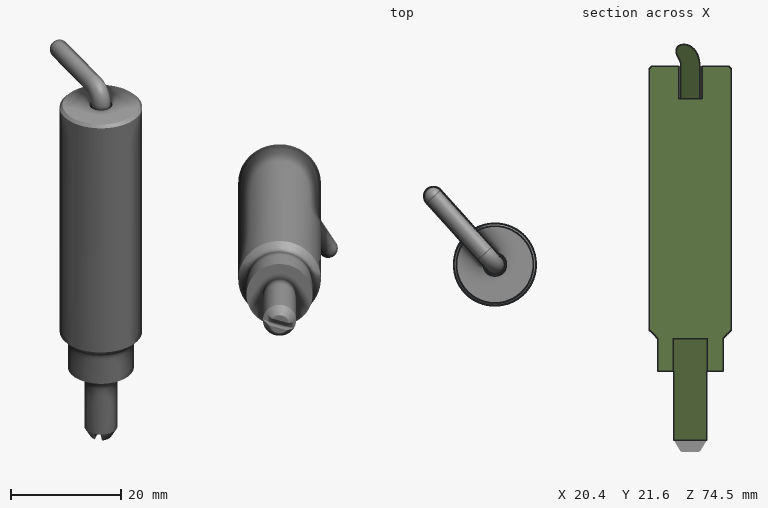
import cadquery as cq
import math

total_height = 74.5
housing_diameter = 15.0
housing_top = 69.95
top_chamfer = 0.5
neck_diameter = 12.0
neck_bottom = 14.5
neck_length = 6.0
shoulder_chamfer = (housing_diameter - neck_diameter) / 2

pin_diameter = 6.0
pin_end_diameter = 3.7
pin_end_fillet = 0.4
pin_taper_length = 2.0
pin_slot_width = 1.4
pin_insertion = 5.95

cable_diameter = 3.5
cable_hole_diameter = 4.2
cable_insertion = 5.95
cable_reach = 18.4
cable_turn = 132.0

cable_radius = cable_diameter / 2
cable_axis_height = total_height - cable_radius
bend_radius = cable_axis_height - housing_top


def make_housing():
    """Cylinder with a reduced neck below and blind sockets for the pin and the cable."""
    neck_top = neck_bottom + neck_length
    neck = cq.Workplane("XY", origin=(0, 0, neck_bottom)).circle(neck_diameter / 2).extrude(neck_length)
    barrel = (
        cq.Workplane("XY", origin=(0, 0, neck_top))
        .circle(housing_diameter / 2)
        .extrude(housing_top - neck_top)
        .faces("<Z").chamfer(shoulder_chamfer)
        .faces(">Z").chamfer(top_chamfer)
    )
    pin_socket = (
        cq.Workplane("XY", origin=(0, 0, neck_bottom))
        .circle(pin_diameter / 2)
        .extrude(pin_insertion)
    )
    cable_socket = (
        cq.Workplane("XY", origin=(0, 0, housing_top))
        .circle(cable_hole_diameter / 2)
        .extrude(-cable_insertion)
    )
    return barrel.union(neck).cut(pin_socket).cut(cable_socket)


def make_pin():
    """Round pin with a tapered, rounded lower end and a slot across the taper along Y."""
    radius = pin_diameter / 2
    pin_top = neck_bottom + pin_insertion
    pin = (
        cq.Workplane("XZ")
        .polyline([
            (0, 0),
            (pin_end_diameter / 2, 0),
            (radius, pin_taper_length),
            (radius, pin_top),
            (0, pin_top),
        ])
        .close()
        .revolve(360, (0, 0), (0, 1))
        .faces("<Z").edges().fillet(pin_end_fillet)
    )
    slot = cq.Workplane("XY").rect(pin_slot_width, pin_diameter).extrude(pin_taper_length)
    return pin.cut(slot)


def make_cable():
    """Cable rising from the housing, bent to horizontal, with a hemispherical tip."""
    ball_distance = cable_reach - cable_radius
    bend_offset = bend_radius * (1 - math.sqrt(0.5))
    path = (
        cq.Workplane("XZ")
        .moveTo(0, housing_top - cable_insertion)
        .lineTo(0, housing_top)
        .threePointArc(
            (bend_offset, cable_axis_height - bend_offset),
            (bend_radius, cable_axis_height),
        )
        .lineTo(ball_distance, cable_axis_height)
    )
    run = (
        cq.Workplane("XY", origin=(0, 0, housing_top - cable_insertion))
        .circle(cable_radius)
        .sweep(path)
    )
    tip = cq.Workplane("XY", origin=(ball_distance, 0, cable_axis_height)).sphere(cable_radius)
    return run.union(tip).rotate((0, 0, 0), (0, 0, 1), cable_turn)


housing = make_housing()
pin = make_pin()
cable = make_cable()

result = cq.Compound.makeCompound([housing.val(), pin.val(), cable.val()])